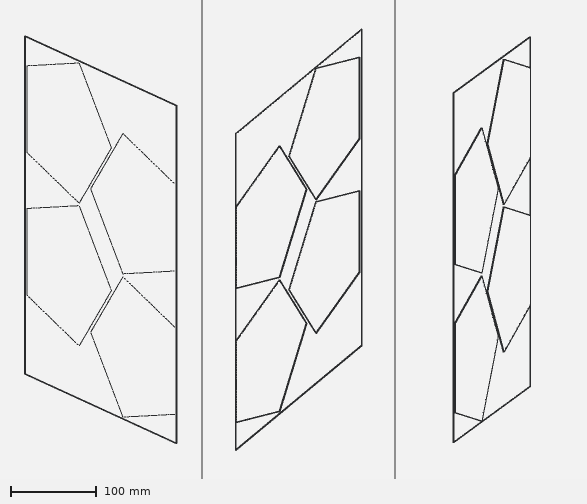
import cadquery as cq
import math

sheet_width = 297.0
sheet_height = 420.0
sheet_thickness = 1.2

total_thickness = 2.4
plate_thickness = total_thickness - sheet_thickness
corner_count = 5
pentagon_side = 107.8
side_margin = 3.03

left_heights = (330.01, 152.6)
right_heights = (267.17, 89.03)

circumradius = pentagon_side / (2 * math.sin(math.pi / corner_count))
inradius = pentagon_side / (2 * math.tan(math.pi / corner_count))

left_column_x = side_margin + inradius
right_column_x = sheet_width - left_column_x

pointing_right = 0.0
pointing_left = math.pi


def make_sheet():
    return cq.Workplane("XY").box(sheet_width, sheet_thickness, sheet_height, centered=False)


def make_plate(center_x, center_z, corner_direction):
    """Pentagon plate lying on the back of the sheet, with one corner in corner_direction."""
    corners = []
    for i in range(corner_count):
        angle = corner_direction + i * 2 * math.pi / corner_count
        corners.append((circumradius * math.cos(angle), circumradius * math.sin(angle)))
    base = cq.Workplane("XZ", origin=(center_x, sheet_thickness, center_z))
    return base.polyline(corners).close().extrude(-plate_thickness)


sheet = make_sheet()

plates = []
for height in left_heights:
    plates.append(make_plate(left_column_x, height, pointing_right))
for height in right_heights:
    plates.append(make_plate(right_column_x, height, pointing_left))

result = cq.Compound.makeCompound([sheet.val(), *[plate.val() for plate in plates]])